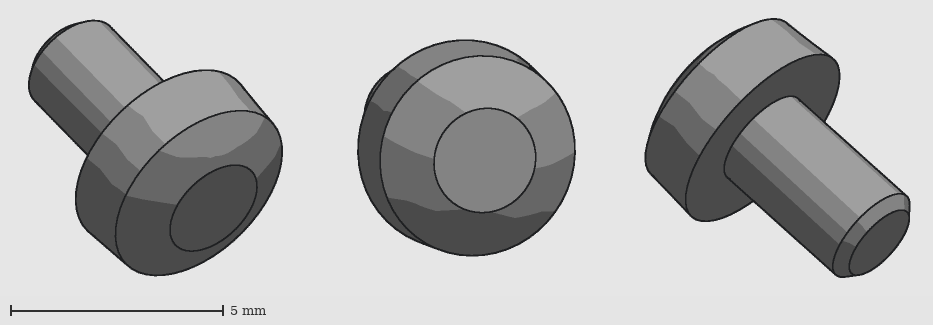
import cadquery as cq
import math

total_length = 6.1
head_diameter = 5.0
shank_diameter = head_diameter / 2
shank_length = 4.0
tip_chamfer = 0.275

rim_length = 1.495
rim_end_radius = 2.4
flat_radius = shank_diameter / 2

head_radius = head_diameter / 2
shank_radius = shank_diameter / 2
rim_end = shank_length + rim_length

dome_height = total_length - rim_end
center_to_rim = (rim_end_radius**2 - flat_radius**2 - dome_height**2) / (2 * dome_height)
dome_center = rim_end - center_to_rim
dome_radius = math.hypot(center_to_rim, rim_end_radius)
dome_mid_radius = (rim_end_radius + flat_radius) / 2
dome_mid = dome_center + math.sqrt(dome_radius**2 - dome_mid_radius**2)

profile = (
    cq.Workplane("XZ")
    .moveTo(0, 0)
    .lineTo(0, shank_radius - tip_chamfer)
    .lineTo(tip_chamfer, shank_radius)
    .lineTo(shank_length, shank_radius)
    .lineTo(shank_length, head_radius)
    .lineTo(rim_end, rim_end_radius)
    .threePointArc((dome_mid, dome_mid_radius), (total_length, flat_radius))
    .lineTo(total_length, 0)
    .close()
)

result = profile.revolve(360, (0, 0, 0), (1, 0, 0))